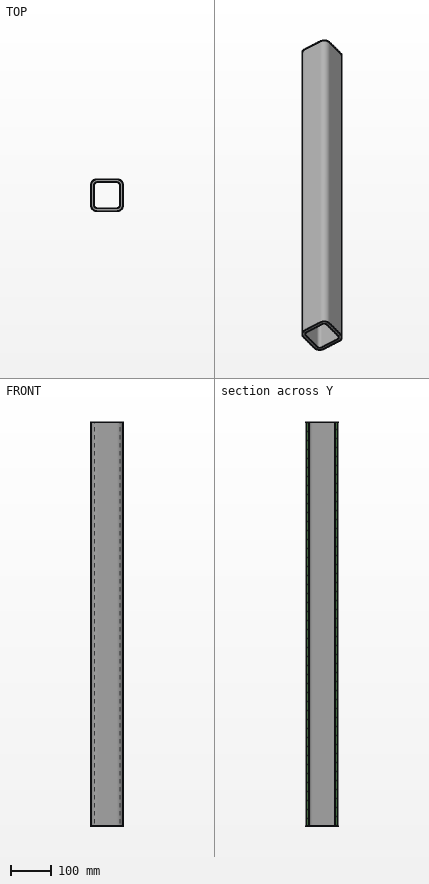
import cadquery as cq

length = 1000.0
side = 80.0
wall = 8.0
outer_radius = 2 * wall
inner_radius = outer_radius - wall


def rounded_bar(width, corner_radius):
    """Full-length square bar with rounded long edges."""
    return cq.Workplane("XY").rect(width, width).extrude(length).edges("|Z").fillet(corner_radius)


outer_bar = rounded_bar(side, outer_radius)
bore = rounded_bar(side - 2 * wall, inner_radius)

result = outer_bar.cut(bore)